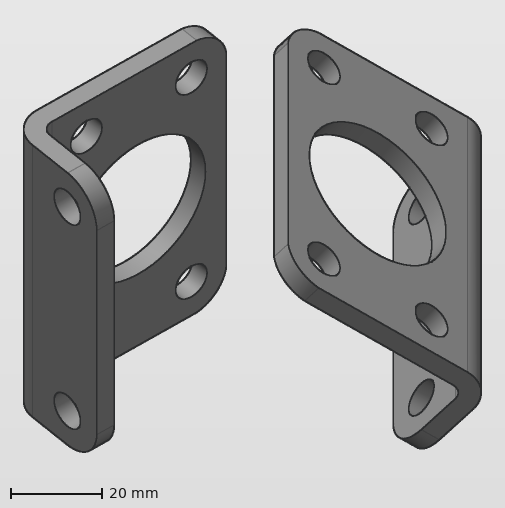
import cadquery as cq

height = 80.0
short_leg = 30.0
long_leg = 58.0
thickness = 5.0
bend_inner_radius = 3.0
bend_outer_radius = bend_inner_radius + thickness
corner_radius = 10.0
long_leg_corner_setback = 8.5

bolt_diameter = 9.0
bore_diameter = 38.1
bolt_edge_distance = 10.0
bolt_spacing_y = 30.0

bolt_heights = (bolt_edge_distance, height - bolt_edge_distance)
outer_bolt_y = long_leg - bolt_edge_distance
inner_bolt_y = outer_bolt_y - bolt_spacing_y
bore_y = (outer_bolt_y + inner_bolt_y) / 2
short_leg_bolt_x = short_leg - bolt_edge_distance


def bent_plate():
    """L-shaped plate with a rounded bend and rounded free corners."""
    plate = (
        cq.Workplane("XY")
        .polyline([
            (0, 0),
            (short_leg, 0),
            (short_leg, thickness),
            (thickness, thickness),
            (thickness, long_leg),
            (0, long_leg),
        ])
        .close()
        .extrude(height)
    )
    outer_bend_point = (0, 0, height / 2)
    inner_bend_point = (thickness, thickness, height / 2)
    plate = plate.edges(cq.NearestToPointSelector(outer_bend_point)).fillet(bend_outer_radius)
    plate = plate.edges(cq.NearestToPointSelector(inner_bend_point)).fillet(bend_inner_radius)
    plate = plate.faces(">X").edges("|Y").fillet(corner_radius)
    return plate.intersect(long_leg_outline())


def long_leg_outline():
    """Block along X whose YZ outline rounds the free corners of the long leg."""
    arc_start_y = long_leg - long_leg_corner_setback
    return (
        cq.Workplane("YZ")
        .lineTo(arc_start_y, 0)
        .radiusArc((long_leg, long_leg_corner_setback), -corner_radius)
        .lineTo(long_leg, height - long_leg_corner_setback)
        .radiusArc((arc_start_y, height), -corner_radius)
        .lineTo(0, height)
        .close()
        .extrude(short_leg)
    )


def hole_through_long_leg(y, z, diameter):
    """Cutter along X through the long leg."""
    return cq.Workplane("YZ").center(y, z).circle(diameter / 2).extrude(thickness)


def hole_through_short_leg(x, z, diameter):
    """Cutter along Y through the short leg."""
    return cq.Workplane("XZ").center(x, z).circle(diameter / 2).extrude(-thickness)


result = bent_plate()
result = result.cut(hole_through_long_leg(bore_y, height / 2, bore_diameter))
for bolt_z in bolt_heights:
    result = result.cut(hole_through_short_leg(short_leg_bolt_x, bolt_z, bolt_diameter))
    for bolt_y in (inner_bolt_y, outer_bolt_y):
        result = result.cut(hole_through_long_leg(bolt_y, bolt_z, bolt_diameter))